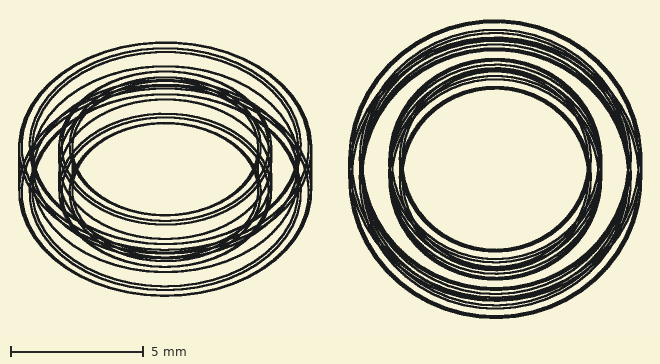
import cadquery as cq

outer_diameter = 11.0
bore_diameter = 7.0
width = 2.5
ring_wall = 0.5
edge_chamfer = 0.1
ball_radius = 0.63

outer_radius = outer_diameter / 2
bore_radius = bore_diameter / 2
ball_circle_radius = (outer_radius + bore_radius) / 2


def chamfered_ring(inner, outer):
    """Ring centred on the XY plane, with all four circular edges chamfered."""
    base = cq.Workplane("XY").workplane(offset=-width / 2)
    ring = base.circle(outer).circle(inner).extrude(width)
    return ring.faces("|Z").edges().chamfer(edge_chamfer)


outer_ring = chamfered_ring(outer_radius - ring_wall, outer_radius)
inner_ring = chamfered_ring(bore_radius, bore_radius + ring_wall)

ball_track = (
    cq.Workplane("XZ")
    .center(ball_circle_radius, 0)
    .circle(ball_radius)
    .revolve(360, (-ball_circle_radius, 0), (-ball_circle_radius, 1))
)

result = outer_ring.union(inner_ring).union(ball_track)